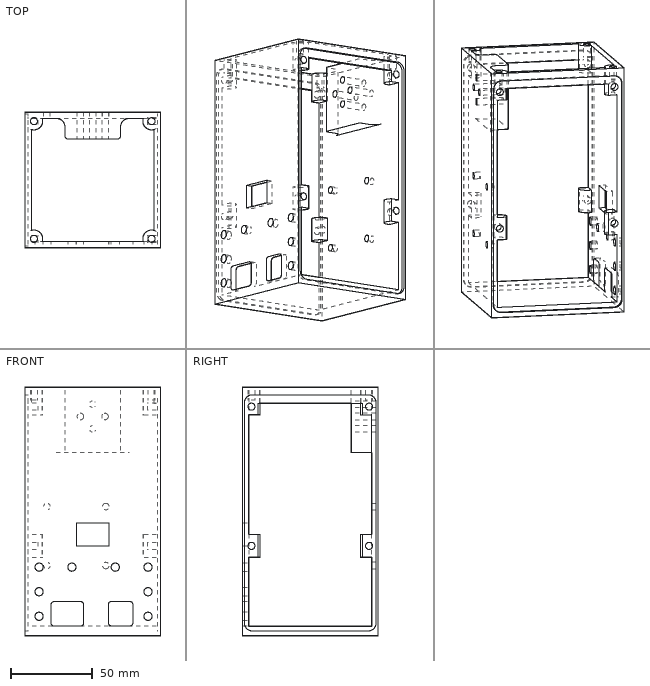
import cadquery as cq
import math

width = 83.0
height = 152.0
wall = 4.0
floor_thickness = 6.0
top_beam_height = 10.0
mid = width / 2

seat_depth = 2.0
seat_side_margin = 1.25
seat_bottom_margin = 3.0
seat_top_margin = 4.75
seat_corner_radius = 5.0

post_inset = 5.6
post_radius = 5.3
top_post_height = 17.0
middle_post_height = 14.0
middle_post_center_z = 55.0
screw_hole_diameter = 4.3
screw_hole_depth = 8.0
top_side_hole_z = height - 12.0

block_width = 34.0
block_depth = 12.5
block_height = 40.0
block_root_radius = 5.0
block_edge_radius = 2.0
block_hole_diameter = 4.0
block_hole_circle_radius = 7.5
block_hole_count = 4
block_hole_center_z = height - 18.0

back_hole_diameter = 4.0
back_hole_pitch = 36.0
back_pattern_center_x = 31.5
back_pattern_center_z = 61.0

window_width = 20.0
window_height = 14.0
window_bottom_z = 55.0
socket_height = 15.0
socket_corner_radius = 2.0
wide_socket_width = 20.0
wide_socket_center_x = 26.0
narrow_socket_width = 15.0
narrow_socket_center_x = 58.5
narrow_socket_bottom_z = floor_thickness + 0.1
front_hole_diameter = 5.0
front_hole_first_z = 12.0
front_hole_center_x = 42.0
front_hole_pitch_z = 15.0
front_hole_rows = 3
outer_hole_offset_x = 33.25
inner_hole_offset_x = 13.25

post_corners = [(x, y) for x in (post_inset, width - post_inset) for y in (post_inset, width - post_inset)]


def box(x0, x1, y0, y1, z0, z1):
    """Axis-aligned box between the given limits."""
    return cq.Workplane("XY").box(x1 - x0, y1 - y0, z1 - z0, centered=False).translate((x0, y0, z0))


def y_holes(points_xz, diameter, y_start, length):
    """Round cutters along +Y, starting at y_start."""
    plane = cq.Workplane("XZ", origin=(0, y_start, 0))
    return plane.pushPoints(points_xz).circle(diameter / 2).extrude(-length)


def make_shell():
    """Square tube with a floor, an open top and a beam over each open X end."""
    outer = box(0, width, 0, width, 0, height)
    cavity = box(wall, width - wall, wall, width - wall, floor_thickness, height)
    end_openings = box(0, width, wall, width - wall, floor_thickness, height - top_beam_height)
    return outer.cut(cavity).cut(end_openings)


def make_posts():
    """Round corner posts at the top and at mid height, trimmed to the outer square."""
    spans = [
        (height - top_post_height, top_post_height),
        (middle_post_center_z - middle_post_height / 2, middle_post_height),
    ]
    posts = cq.Workplane("XY")
    for bottom_z, post_height in spans:
        level = cq.Workplane("XY", origin=(0, 0, bottom_z))
        posts = posts.add(level.pushPoints(post_corners).circle(post_radius).extrude(post_height))
    return posts.combine().intersect(box(0, width, 0, width, 0, height))


def make_block():
    """Block on the +Y wall with concave roots and rounded free edges."""
    inner_y = width - wall
    face_y = inner_y - block_depth
    left = mid - block_width / 2
    right = mid + block_width / 2
    root = block_root_radius
    edge = block_edge_radius
    outline = (
        cq.Workplane("XY", origin=(0, 0, height - block_height))
        .moveTo(left - root, inner_y)
        .radiusArc((left, inner_y - root), root)
        .lineTo(left, face_y + edge)
        .radiusArc((left + edge, face_y), -edge)
        .lineTo(right - edge, face_y)
        .radiusArc((right, face_y + edge), -edge)
        .lineTo(right, inner_y - root)
        .radiusArc((right + root, inner_y), root)
        .lineTo(right + root, width - wall / 2)
        .lineTo(left - root, width - wall / 2)
        .close()
    )
    return outline.extrude(block_height)


def make_lid_seats():
    """Shallow rounded rectangles sunk into both X ends."""
    seat_width = width - 2 * seat_side_margin
    seat_height = height - seat_bottom_margin - seat_top_margin
    seat_center_z = seat_bottom_margin + seat_height / 2
    seat = (
        cq.Workplane("YZ", origin=(0, mid, seat_center_z))
        .rect(seat_width, seat_height)
        .extrude(seat_depth)
        .edges("|X")
        .fillet(seat_corner_radius)
    )
    return seat.union(seat.translate((width - seat_depth, 0, 0)))


def make_screw_holes():
    """Blind holes down into the top posts, and inward along X into every post."""
    radius = screw_hole_diameter / 2
    top = cq.Workplane("XY", origin=(0, 0, height))
    holes = top.pushPoints(post_corners).circle(radius).extrude(-screw_hole_depth)
    side_points = [
        (y, z) for y in (post_inset, width - post_inset) for z in (top_side_hole_z, middle_post_center_z)
    ]
    for end_x, direction in ((0, 1), (width, -1)):
        end = cq.Workplane("YZ", origin=(end_x, 0, 0))
        holes = holes.union(end.pushPoints(side_points).circle(radius).extrude(direction * screw_hole_depth))
    return holes


def make_block_holes():
    """Circle of holes through the block and the +Y wall."""
    points = []
    for index in range(block_hole_count):
        angle = 2 * math.pi * index / block_hole_count
        x = mid + block_hole_circle_radius * math.cos(angle)
        z = block_hole_center_z + block_hole_circle_radius * math.sin(angle)
        points.append((x, z))
    length = wall + block_depth
    return y_holes(points, block_hole_diameter, width - length, length)


def make_back_holes():
    """Square pattern of holes through the +Y wall."""
    half = back_hole_pitch / 2
    columns = (back_pattern_center_x - half, back_pattern_center_x + half)
    rows = (back_pattern_center_z - half, back_pattern_center_z + half)
    points = [(x, z) for x in columns for z in rows]
    return y_holes(points, back_hole_diameter, width - wall, wall)


def make_socket(center_x, socket_width, bottom_z):
    """Rounded rectangular cutout in the -Y wall."""
    left = center_x - socket_width / 2
    socket = box(left, left + socket_width, 0, wall, bottom_z, bottom_z + socket_height)
    return socket.edges("|Y").fillet(socket_corner_radius)


def make_front_cutouts():
    """Window, two sockets and the round holes of the -Y wall."""
    window_left = mid - window_width / 2
    window_top_z = window_bottom_z + window_height
    cutouts = box(window_left, window_left + window_width, 0, wall, window_bottom_z, window_top_z)
    cutouts = cutouts.union(make_socket(wide_socket_center_x, wide_socket_width, floor_thickness))
    cutouts = cutouts.union(make_socket(narrow_socket_center_x, narrow_socket_width, narrow_socket_bottom_z))
    rows = [front_hole_first_z + row * front_hole_pitch_z for row in range(front_hole_rows)]
    points = [(front_hole_center_x + side * outer_hole_offset_x, z) for side in (-1, 1) for z in rows]
    points += [(front_hole_center_x + side * inner_hole_offset_x, rows[-1]) for side in (-1, 1)]
    return cutouts.union(y_holes(points, front_hole_diameter, 0, wall))


body = make_shell().union(make_posts()).union(make_block())
for cutter in (
    make_lid_seats(),
    make_screw_holes(),
    make_block_holes(),
    make_back_holes(),
    make_front_cutouts(),
):
    body = body.cut(cutter)

result = body